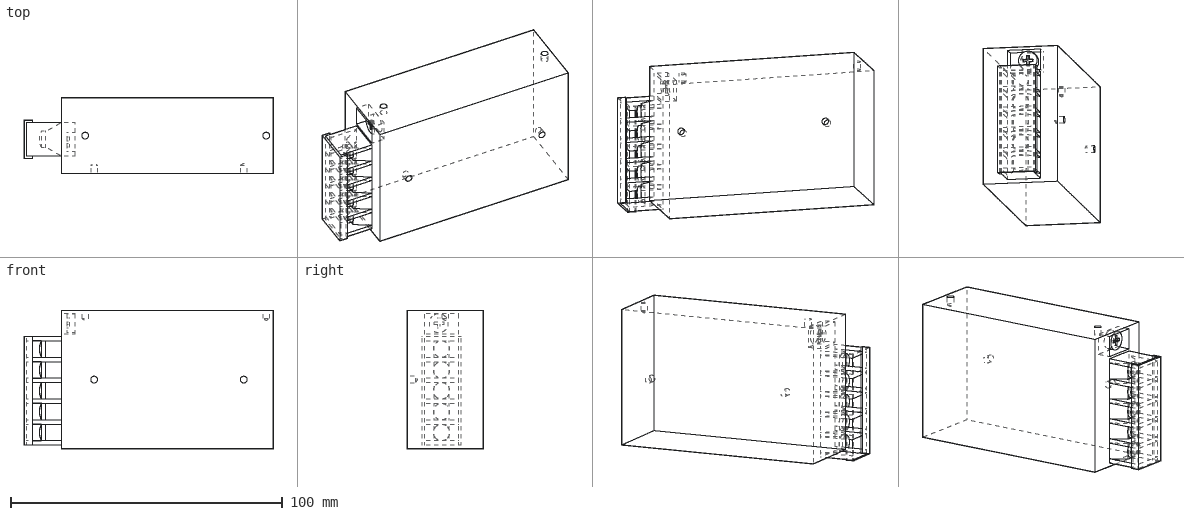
import cadquery as cq
import math

housing_length = 78.0
housing_width = 28.0
housing_height = 51.0

hole_diameter = 2.5
hole_depth = 3.0
drill_point_angle = 118.0
side_hole_first_x = 12.0
side_hole_spacing = 55.05
top_hole_first_x = 8.7
top_hole_spacing = 66.6

terminal_count = 5
block_height = 40.0
divider_thickness = 1.65
terminal_pitch = (block_height - divider_thickness) / terminal_count
block_width = 12.4
block_y = -1.4
block_bottom_z = 1.4
protrusion = 13.8
compartment_height = terminal_pitch - divider_thickness

cover_thickness = 0.9
cover_depth = 3.1
cover_width = block_width + 2 * cover_thickness
divider_length = protrusion - cover_thickness

seat_depth = 6.0
seat_taper_angle = 30.0
seat_front_width = block_width - 2 * seat_depth * math.tan(math.radians(seat_taper_angle))

terminal_head_diameter = compartment_height
terminal_head_rim = 1.4
terminal_dome_height = 0.8

pocket_height = 7.7
pocket_depth = 5.05
pocket_gap = 0.8
pocket_bottom_z = block_bottom_z + block_height + pocket_gap
earth_head_diameter = 7.0
earth_head_thickness = 3.0
earth_y = -2.4
earth_z = 46.2
cross_length = 3.7
cross_width = 0.9
cross_depth = 1.0


def box(x_start, x_length, y_center, y_width, z_bottom, z_height):
    """Box from its -X face, its middle in Y and its bottom in Z."""
    block = cq.Workplane("XY").box(x_length, y_width, z_height, centered=(False, True, False))
    return block.translate((x_start, y_center, z_bottom))


def drilled_hole(entry, direction):
    """Cutting tool: a cylinder that ends in a drill-point cone."""
    radius = hole_diameter / 2
    point_length = radius / math.tan(math.radians(drill_point_angle / 2))
    start = cq.Vector(*entry)
    inward = cq.Vector(*direction)
    bore = cq.Solid.makeCylinder(radius, hole_depth, start, inward)
    point = cq.Solid.makeCone(radius, 0, point_length, start + inward * hole_depth, inward)
    return bore.fuse(point)


def earth_screw_head():
    """Flat screw head with a cross recess, standing on the pocket's back wall."""
    face_x = pocket_depth - earth_head_thickness
    head = cq.Workplane("YZ").circle(earth_head_diameter / 2).extrude(earth_head_thickness)
    cross = (
        cq.Workplane("YZ").rect(cross_length, cross_width).extrude(cross_depth)
        .union(cq.Workplane("YZ").rect(cross_width, cross_length).extrude(cross_depth))
    )
    return head.cut(cross).translate((face_x, earth_y, earth_z))


def terminal_block():
    """Tapered seat crossed by evenly spaced dividers, with one compartment between each two."""
    block = (
        cq.Workplane("XY")
        .moveTo(0, block_width / 2)
        .lineTo(-seat_depth, seat_front_width / 2)
        .lineTo(-seat_depth, -seat_front_width / 2)
        .lineTo(0, -block_width / 2)
        .close()
        .extrude(block_height)
        .translate((0, block_y, block_bottom_z))
    )
    for index in range(terminal_count + 1):
        divider_z = block_bottom_z + index * terminal_pitch
        divider = box(-divider_length, divider_length, block_y, block_width, divider_z, divider_thickness)
        block = block.union(divider)
    return block


def make_housing():
    """Housing with its terminal block, earth screw and mounting holes."""
    pocket = box(0, pocket_depth, block_y, block_width, pocket_bottom_z, pocket_height)
    body = box(0, housing_length, 0, housing_width, 0, housing_height).cut(pocket)
    body = body.union(earth_screw_head()).union(terminal_block())
    for step in range(2):
        side_entry = (side_hole_first_x + step * side_hole_spacing, -housing_width / 2, housing_height / 2)
        top_entry = (top_hole_first_x + step * top_hole_spacing, 0, housing_height)
        body = body.cut(cq.Workplane(drilled_hole(side_entry, (0, 1, 0))))
        body = body.cut(cq.Workplane(drilled_hole(top_entry, (0, 0, -1))))
    return body


def make_cover():
    """Channel that wraps the -X ends of the dividers on three sides."""
    outer = box(-protrusion, cover_depth, block_y, cover_width, block_bottom_z, block_height)
    inner = box(-divider_length, cover_depth, block_y, block_width, block_bottom_z, block_height)
    return outer.cut(inner)


def make_terminal_screw(index):
    """Domed head, turned about the X axis, standing on a seat."""
    radius = terminal_head_diameter / 2
    rim_x = -terminal_head_rim
    top_x = rim_x - terminal_dome_height
    dome_radius = (radius**2 + terminal_dome_height**2) / (2 * terminal_dome_height)
    half_angle = math.asin(radius / dome_radius) / 2
    middle_x = top_x + dome_radius * (1 - math.cos(half_angle))
    head = (
        cq.Workplane("XY")
        .moveTo(0, 0)
        .lineTo(0, radius)
        .lineTo(rim_x, radius)
        .threePointArc((middle_x, dome_radius * math.sin(half_angle)), (top_x, 0))
        .close()
        .revolve(360, (0, 0, 0), (1, 0, 0))
    )
    center_z = block_bottom_z + divider_thickness + compartment_height / 2 + index * terminal_pitch
    return head.translate((-seat_depth, block_y, center_z))


housing = make_housing()
cover = make_cover()
terminal_screws = [make_terminal_screw(index).val() for index in range(terminal_count)]

result = cq.Compound.makeCompound([housing.val(), cover.val(), *terminal_screws])